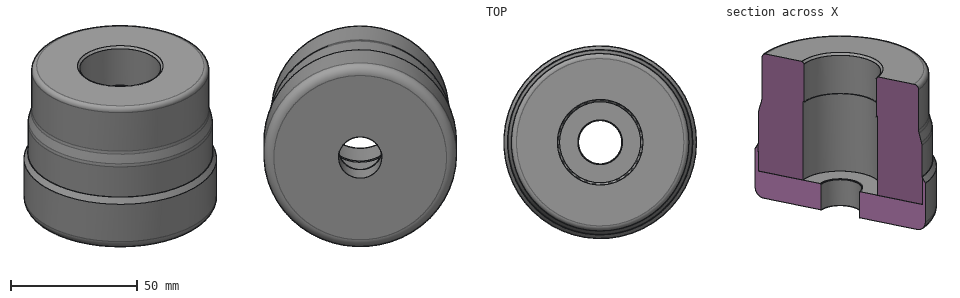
import cadquery as cq

outer_radius = 38.1
total_height = 62.25

cup_height = 23.2
cup_floor_thickness = 11.4
cup_bottom_fillet = 4.0
rim_chamfer_height = 2.45
rim_land = 0.15
pilot_hole_radius = 8.5
pilot_chamfer = 0.3

stem_radius = 36.5
head_radius = 35.05
taper_bottom_z = 37.3
taper_top_z = 42.3
taper_blend_radius = 4.6
head_fillet = 2.0

bore_radius = 16.0
bore_chamfer = 0.9
bore_length = 17.4
relief_radius = 16.5


def make_cup():
    """Round cup with a chamfered rim and a chamfered hole through its floor."""
    rim_chamfer_width = outer_radius - stem_radius - rim_land
    cup = (
        cq.Workplane("XY")
        .circle(outer_radius)
        .extrude(cup_height)
        .faces("<Z")
        .edges()
        .fillet(cup_bottom_fillet)
    )
    rim_cutter = (
        cq.Workplane("XZ")
        .moveTo(outer_radius, cup_height)
        .lineTo(outer_radius - rim_chamfer_width, cup_height)
        .lineTo(outer_radius, cup_height - rim_chamfer_height)
        .close()
        .revolve(360, (0, 0), (0, 1))
    )
    pocket = (
        cq.Workplane("XY", origin=(0, 0, cup_floor_thickness))
        .circle(stem_radius)
        .extrude(cup_height - cup_floor_thickness)
    )
    pilot_hole = cq.Workplane("XY").circle(pilot_hole_radius).extrude(cup_floor_thickness)
    pilot_countersink = cq.Workplane(
        cq.Solid.makeCone(
            pilot_hole_radius,
            pilot_hole_radius + pilot_chamfer,
            pilot_chamfer,
            pnt=cq.Vector(0, 0, cup_floor_thickness - pilot_chamfer),
        )
    )
    return cup.cut(rim_cutter).cut(pocket).cut(pilot_hole).cut(pilot_countersink)


def make_stem_blank():
    """Solid stem with a blended taper up to a smaller, rounded head."""
    blank = (
        cq.Workplane("XZ")
        .moveTo(0, cup_floor_thickness)
        .lineTo(stem_radius, cup_floor_thickness)
        .lineTo(stem_radius, taper_bottom_z)
        .lineTo(head_radius, taper_top_z)
        .lineTo(head_radius, total_height)
        .lineTo(0, total_height)
        .close()
        .revolve(360, (0, 0), (0, 1))
    )
    for taper_end_z in (taper_bottom_z, taper_top_z):
        taper_edge = cq.selectors.NearestToPointSelector((0, 0, taper_end_z))
        blank = blank.edges("%CIRCLE").edges(taper_edge).fillet(taper_blend_radius)
    return blank.faces(">Z").edges().fillet(head_fillet)


def make_stem():
    """Stem with a bore that opens into a wider relief above the cup floor."""
    bore_bottom_z = total_height - bore_length
    bore = cq.Workplane("XY", origin=(0, 0, bore_bottom_z)).circle(bore_radius).extrude(bore_length)
    relief = (
        cq.Workplane("XY", origin=(0, 0, cup_floor_thickness))
        .circle(relief_radius)
        .extrude(bore_bottom_z - cup_floor_thickness)
    )
    bore_countersink = cq.Workplane(
        cq.Solid.makeCone(
            bore_radius,
            bore_radius + bore_chamfer,
            bore_chamfer,
            pnt=cq.Vector(0, 0, total_height - bore_chamfer),
        )
    )
    return make_stem_blank().cut(bore).cut(relief).cut(bore_countersink)


cup = make_cup()
stem = make_stem()

result = cq.Compound.makeCompound([cup.solids().val(), stem.solids().val()])